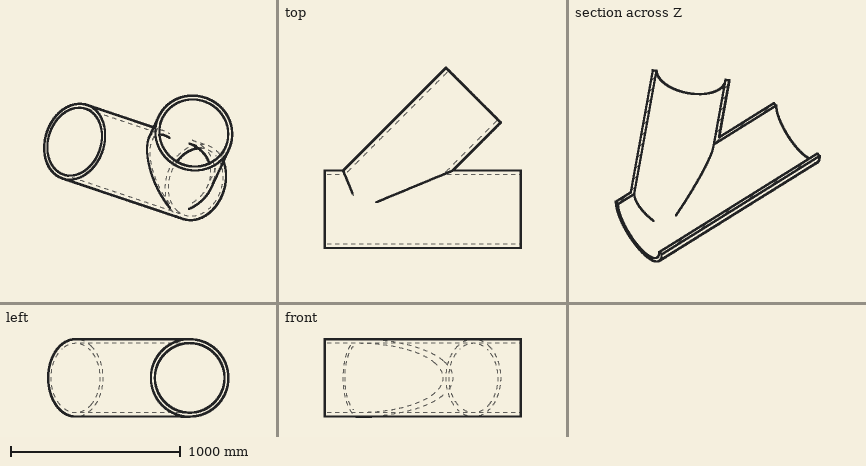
import cadquery as cq

outer_diameter = 458.0
bore_diameter = 409.0
run_length = 1156.0
junction_offset = 203.0
branch_length = 951.0
branch_angle = 45.0


def run_cylinder(diameter):
    """Straight cylinder along X, with the axis crossing at the origin."""
    return (
        cq.Workplane("YZ")
        .workplane(offset=-junction_offset)
        .circle(diameter / 2)
        .extrude(run_length)
    )


def branch_cylinder(diameter):
    """Cylinder from the axis crossing, leaning from +X towards +Y."""
    return (
        cq.Workplane("YZ")
        .circle(diameter / 2)
        .extrude(branch_length)
        .rotate((0, 0, 0), (0, 0, 1), branch_angle)
    )


def lateral_shape(diameter):
    """Run and branch of one diameter joined into a Y shape."""
    return run_cylinder(diameter).union(branch_cylinder(diameter))


result = lateral_shape(outer_diameter).cut(lateral_shape(bore_diameter))